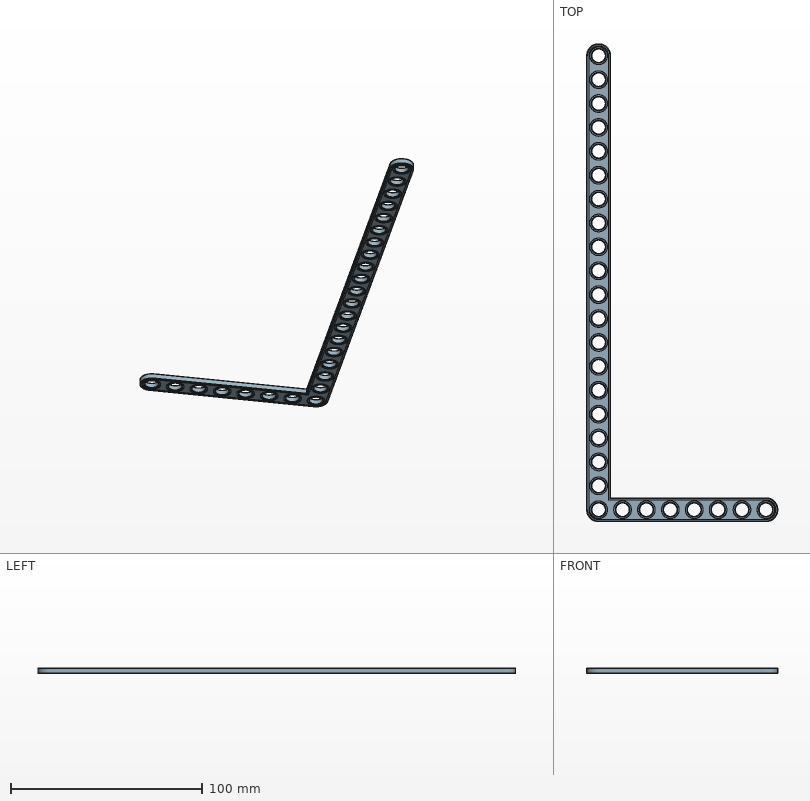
import cadquery as cq

pitch = 12.5
short_arm_holes = 8
long_arm_holes = 20
side_wall_height = 2.5
edge_chamfer = 0.3
hole_diameter = 7.0
collar_diameter = 9.2
rim_width = 1.12
recess_depth = 0.2

beam_width = pitch
thickness = side_wall_height + 2 * edge_chamfer
short_span = (short_arm_holes - 1) * pitch
long_span = (long_arm_holes - 1) * pitch

short_arm_centers = [(i * pitch, 0) for i in range(short_arm_holes)]
long_arm_centers = [(0, i * pitch) for i in range(1, long_arm_holes)]
hole_centers = short_arm_centers + long_arm_centers


def make_arm(span, width, height):
    """Round-ended bar along X, with its first end centred on the origin."""
    return cq.Workplane("XY").center(span / 2, 0).slot2D(span + width, width).extrude(height)


def make_angle(width, height):
    """Two round-ended arms, along X and Y, joined at the origin."""
    short_arm = make_arm(short_span, width, height)
    long_arm = make_arm(long_span, width, height).rotate((0, 0, 0), (0, 0, 1), 90)
    return short_arm.union(long_arm).clean()


def make_recess():
    """Shallow pocket inside the rim that leaves the hole collars standing."""
    collars = cq.Workplane("XY").pushPoints(hole_centers).circle(collar_diameter / 2).extrude(recess_depth)
    return make_angle(beam_width - 2 * rim_width, recess_depth).cut(collars)


def make_hole_cutter():
    """Through hole chamfered at both mouths, revolved about Z from its half section."""
    hole_radius = hole_diameter / 2
    mouth_radius = hole_radius + edge_chamfer
    half_section = [
        (0, 0),
        (mouth_radius, 0),
        (hole_radius, edge_chamfer),
        (hole_radius, thickness - edge_chamfer),
        (mouth_radius, thickness),
        (0, thickness),
    ]
    return cq.Workplane("XZ").polyline(half_section).close().revolve(360, (0, 0, 0), (0, 1, 0)).val()


body = make_angle(beam_width, thickness).faces("<Z or >Z").chamfer(edge_chamfer)

recess = make_recess()
body = body.cut(recess)
body = body.cut(recess.translate((0, 0, thickness - recess_depth)))

hole_cutter = make_hole_cutter()
holes = cq.Workplane("XY").pushPoints(hole_centers).eachpoint(lambda location: hole_cutter.moved(location))
result = body.cut(holes).solids()